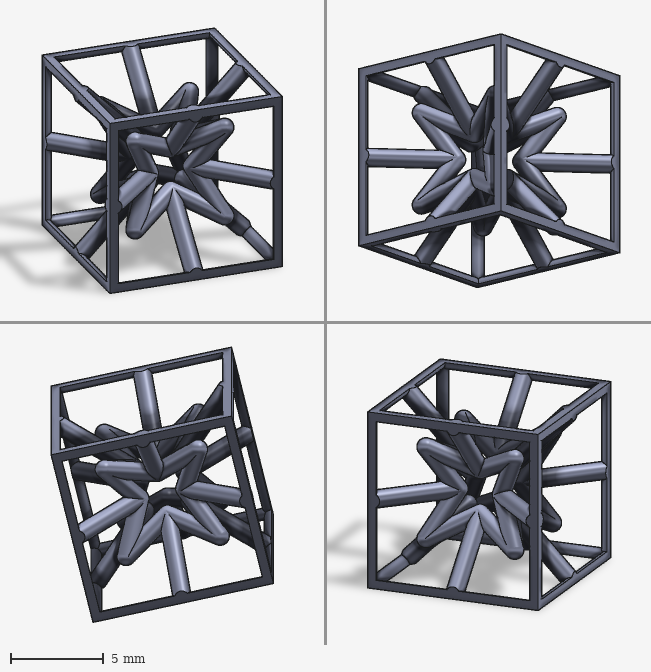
import cadquery as cq

cube_side = 10.0
edge_bar_radius = 0.5
strut_diameter = 1.0
corner_node_offset = 2.6
spoke_tip_offset = 1.25

half_side = cube_side / 2
strut_radius = strut_diameter / 2
signs = (-1, 1)


def make_rod(start, end, radius):
    """Round rod between two points."""
    axis = end - start
    return cq.Solid.makeCylinder(radius, axis.Length, start, axis)


def make_ball(centre):
    """Ball that rounds off the struts meeting at a point."""
    return cq.Workplane("XY").sphere(strut_radius).translate(centre).val()


def make_edge_branch(axis_index, first_sign, second_sign):
    """Edge bar, the spoke inward from its middle, and two arms out to the corner nodes."""

    def branch_point(along, offset):
        """Point at one distance along the edge and another toward it on both other axes."""
        coordinates = [first_sign * offset, second_sign * offset]
        coordinates.insert(axis_index, along)
        return cq.Vector(*coordinates)

    edge_start = branch_point(-half_side, half_side)
    edge_end = branch_point(half_side, half_side)
    spoke_start = branch_point(0, half_side + strut_radius)
    spoke_tip = branch_point(0, spoke_tip_offset)
    nodes = [branch_point(sign * corner_node_offset, corner_node_offset) for sign in signs]

    bar = make_rod(edge_start, edge_end, edge_bar_radius)
    spoke = make_rod(spoke_start, spoke_tip, strut_radius)
    arms = [make_rod(spoke_tip, node, strut_radius) for node in nodes]
    return [bar, spoke, make_ball(spoke_tip), *arms]


members = []
for axis_index in range(3):
    for first_sign in signs:
        for second_sign in signs:
            members += make_edge_branch(axis_index, first_sign, second_sign)

for x_sign in signs:
    for y_sign in signs:
        for z_sign in signs:
            members.append(make_ball(cq.Vector(x_sign, y_sign, z_sign) * corner_node_offset))

lattice = members[0].fuse(*members[1:])

envelope = cq.Workplane("XY").box(cube_side, cube_side, cube_side)
result = cq.Workplane(envelope.val().intersect(lattice).Solids()[0])